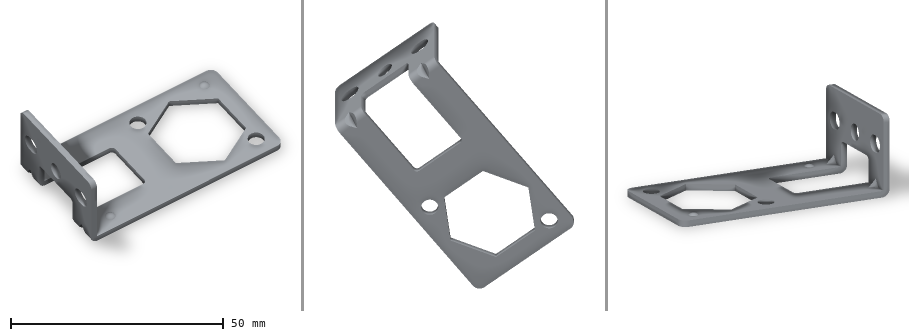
import cadquery as cq
import math

width = 29.5
length = 55.0
height = 20.0
thickness = 1.6
bend_radius = 2.0
plate_corner_radius = 2.0
wall_corner_radius = 1.6

window_width = 13.95
window_depth = 21.1
window_height = 8.0
window_corner_radius = 1.0

hexagon_y = 40.3
hexagon_flats = 20.0
hexagon_corners = hexagon_flats / math.cos(math.pi / 6)
screw_hole_diameter = 4.0
screw_offset = hexagon_flats / 2

wall_hole_z = 12.0
wall_hole_diameter = 4.2
wall_slot_length = 5.0
wall_slot_x = 10.35

bump_diameter = 2.5
bump_height = 0.45
bump_x = 11.1
bump_front_y = 7.9
bump_rear_y = 50.05

stiffener_x = 10.7
stiffener_leg = 1.9


def make_plate():
    plate = cq.Workplane("XY").box(width, length, thickness, centered=(True, False, False))
    return plate.edges("|Z and >Y").fillet(plate_corner_radius)


def make_wall():
    wall = cq.Workplane("XY").box(width, thickness, height, centered=(True, False, False))
    return wall.edges("|Y and >Z").fillet(wall_corner_radius)


def make_window():
    """Two crossing cutters: one upward through the plate, one through the wall."""
    plate_cut = cq.Workplane("XY").box(window_width, window_depth, thickness, centered=(True, False, False))
    plate_cut = plate_cut.edges("|Z and >Y").fillet(window_corner_radius)
    wall_cut = cq.Workplane("XY").box(window_width, thickness, window_height, centered=(True, False, False))
    wall_cut = wall_cut.edges("|Y and >Z").fillet(window_corner_radius)
    return plate_cut.union(wall_cut)


def make_plate_openings():
    hexagon = (
        cq.Workplane("XY").center(0, hexagon_y).polygon(6, hexagon_corners).extrude(thickness)
    )
    screw_holes = (
        cq.Workplane("XY")
        .center(0, hexagon_y)
        .pushPoints([(screw_offset, screw_offset), (-screw_offset, -screw_offset)])
        .circle(screw_hole_diameter / 2)
        .extrude(thickness)
    )
    return hexagon.union(screw_holes)


def make_wall_openings():
    hole = cq.Workplane("XZ").center(0, wall_hole_z).circle(wall_hole_diameter / 2).extrude(-thickness)
    slots = (
        cq.Workplane("XZ")
        .center(0, wall_hole_z)
        .pushPoints([(-wall_slot_x, 0), (wall_slot_x, 0)])
        .slot2D(wall_slot_length, wall_hole_diameter)
        .extrude(-thickness)
    )
    return hole.union(slots)


def make_bump(x, y):
    """Spherical cap whose base circle lies on the plate's upper face."""
    base_radius = bump_diameter / 2
    sphere_radius = (base_radius**2 + bump_height**2) / (2 * bump_height)
    sphere = cq.Workplane("XY").sphere(sphere_radius)
    sphere = sphere.translate((x, y, thickness + bump_height - sphere_radius))
    clip = cq.Workplane("XY").box(bump_diameter, bump_diameter, thickness, centered=(True, True, False))
    return sphere.intersect(clip.translate((x, y, thickness)))


def make_v_prism(x, ridge_leg):
    """90 degree V prism at 45 degrees, its ridge meeting Y = 0 and Z = 0 at ridge_leg."""
    ridge = ridge_leg / math.sqrt(2)
    diagonal = cq.Plane(origin=(x, 0, 0), xDir=(1, 0, 0), normal=(0, 1, -1))
    return (
        cq.Workplane(diagonal)
        .polyline([(-ridge, 0), (ridge, 0), (0, -ridge)])
        .close()
        .extrude(ridge_leg, both=True)
    )


def make_rib(x):
    """Part of the raised V inside the corner between plate and wall."""
    inside = cq.Workplane("XY").box(width, stiffener_leg, stiffener_leg, centered=(True, False, False))
    inside = inside.translate((0, thickness, thickness))
    return make_v_prism(x, 2 * thickness + stiffener_leg).intersect(inside)


result = make_plate().union(make_wall())
result = result.edges("|X and <Y and <Z").fillet(bend_radius)
result = result.cut(make_window()).cut(make_plate_openings()).cut(make_wall_openings())

for bump_position in [(-bump_x, bump_rear_y), (bump_x, bump_front_y)]:
    result = result.union(make_bump(*bump_position))

for side in (-1, 1):
    result = result.union(make_rib(side * stiffener_x))
    result = result.cut(make_v_prism(side * stiffener_x, 2 * thickness))